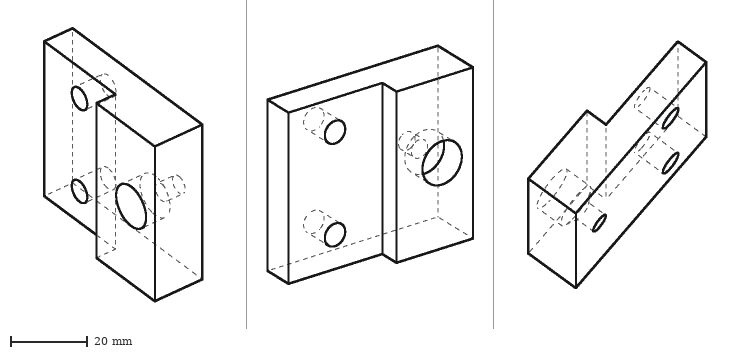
import cadquery as cq
import math

width = 55.0
depth = 15.9
height = 50.0

flange_width = 30.25
flange_thickness = 9.5

flange_hole_diameter = 6.6
flange_hole_x = 15.0
flange_hole_spacing = 30.0

screw_x = 45.0
screw_hole_diameter = 5.35
screw_head_diameter = 12.7
head_bore_depth = 8.0
seat_angle = 118.0


def build_body():
    """Extrude the L-shaped section upward."""
    return (
        cq.Workplane("XY")
        .moveTo(0, 0)
        .lineTo(width, 0)
        .lineTo(width, -depth)
        .lineTo(flange_width, -depth)
        .lineTo(flange_width, -flange_thickness)
        .lineTo(0, -flange_thickness)
        .close()
        .extrude(height)
    )


def flange_holes():
    """Cylinders for the pair of holes, centred on the height of the flange."""
    offset = flange_hole_spacing / 2
    return (
        cq.Workplane("XZ")
        .pushPoints([(flange_hole_x, height / 2 + side * offset) for side in (-1, 1)])
        .circle(flange_hole_diameter / 2)
        .extrude(flange_thickness)
    )


def screw_recess():
    """Revolve the half section of the screw hole about its axis, parallel to Y."""
    hole_radius = screw_hole_diameter / 2
    head_radius = screw_head_diameter / 2
    seat_depth = (head_radius - hole_radius) / math.tan(math.radians(seat_angle / 2))
    bore_floor = -depth + head_bore_depth
    return (
        cq.Workplane("XY")
        .moveTo(0, 0)
        .lineTo(hole_radius, 0)
        .lineTo(hole_radius, bore_floor + seat_depth)
        .lineTo(head_radius, bore_floor)
        .lineTo(head_radius, -depth)
        .lineTo(0, -depth)
        .close()
        .revolve(360, (0, 0, 0), (0, 1, 0))
        .translate((screw_x, 0, height / 2))
    )


result = build_body().cut(flange_holes()).cut(screw_recess())